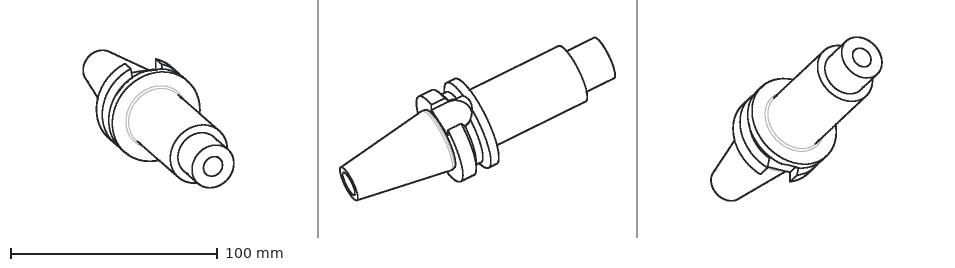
import cadquery as cq


taper_length = 48.4
overall_length = 141.7
nose_length = 17.7
flange_front = 2.0
flange_back = 22.0
gauge_land_length = 1.0

gauge_radius = 32.0 / 2
taper_slope = (7 / 24) / 2
neck_radius = 15.7
flange_radius = 46.0 / 2
body_radius = 30.0 / 2
nose_radius = 22.0 / 2
shoulder_fillet = 1.0

groove_front = 9.4
groove_floor_front = 11.5
groove_floor_back = 15.3
groove_back = 17.5
groove_radius = 19.05

key_width = 16.1
key_floor = 16.3
key_end = 18.8

through_bore_diameter = 10.0
rear_bore_diameter = 12.0
rear_bore_depth = 24.0

small_end = -taper_length
nose_end = small_end + overall_length
body_end = nose_end - nose_length
small_end_radius = gauge_radius - taper_slope * taper_length


def turned_body():
    """Taper, grooved flange, body and nose as one revolved profile."""
    profile = (
        cq.Workplane("XY")
        .moveTo(small_end, 0)
        .lineTo(small_end, small_end_radius)
        .lineTo(0, gauge_radius)
        .lineTo(gauge_land_length, gauge_radius)
        .lineTo(flange_front, neck_radius)
        .lineTo(flange_front, flange_radius)
        .lineTo(groove_front, flange_radius)
        .lineTo(groove_floor_front, groove_radius)
        .lineTo(groove_floor_back, groove_radius)
        .lineTo(groove_back, flange_radius)
        .lineTo(flange_back, flange_radius)
        .lineTo(flange_back, body_radius + shoulder_fillet)
        .radiusArc((flange_back + shoulder_fillet, body_radius), -shoulder_fillet)
        .lineTo(body_end, body_radius)
        .lineTo(body_end, nose_radius)
        .lineTo(nose_end, nose_radius)
        .lineTo(nose_end, 0)
        .close()
    )
    return profile.revolve(360, (0, 0, 0), (1, 0, 0))


def drive_keyway(side):
    """Round-ended keyway cutter, above the axis for side = 1 and below it for side = -1."""
    half_width = key_width / 2
    arc_centre = key_end - half_width
    return (
        cq.Workplane("XY", origin=(0, 0, side * key_floor))
        .moveTo(flange_front, -half_width)
        .lineTo(arc_centre, -half_width)
        .threePointArc((key_end, 0), (arc_centre, half_width))
        .lineTo(flange_front, half_width)
        .close()
        .extrude(side * (flange_radius - key_floor))
    )


def bore(diameter, depth):
    """Cylinder entering along the axis from the small end of the taper."""
    return cq.Workplane("YZ", origin=(small_end, 0, 0)).circle(diameter / 2).extrude(depth)


result = turned_body()
for side in (1, -1):
    result = result.cut(drive_keyway(side))
result = result.cut(bore(through_bore_diameter, overall_length))
result = result.cut(bore(rear_bore_diameter, rear_bore_depth))